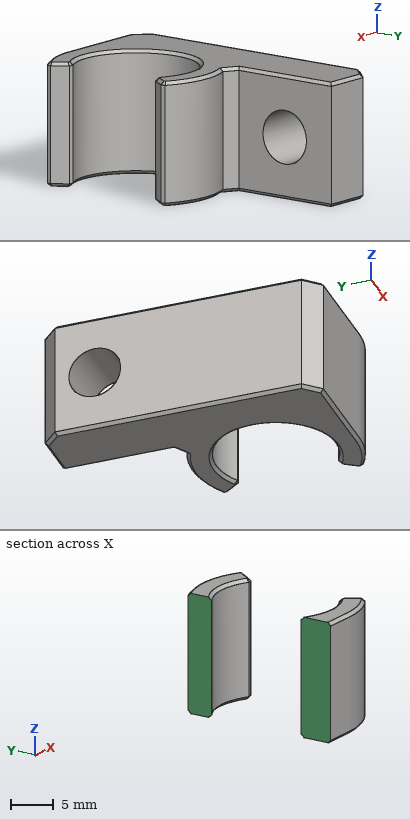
import cadquery as cq
import math

bar_length = 35.0
bar_thickness = 8.0
height = 15.0

bore_radius = 7.5
ring_wall = 3.0
ring_radius = bore_radius + ring_wall
bore_center_x = 14.0
bore_center_y = ring_radius
mouth_half_angle = math.radians(55.0)

hole_diameter = 6.5
hole_end_distance = 7.0

corner_chamfer = 2.0
edge_chamfer = 0.4

gusset_setback = 2.0
gusset_overlap = 1.5


def ring_point(radius, angle):
    """Point on a circle around the bore axis, the angle measured from +X."""
    return cq.Vector(
        bore_center_x + radius * math.cos(angle),
        bore_center_y + radius * math.sin(angle),
    )


notch_angle = math.acos((bar_thickness - bore_center_x) / ring_radius)
notch = ring_point(ring_radius, notch_angle)


def make_outline_body():
    """Bar and open ring as one extruded outline."""
    upper_mid_angle = (notch_angle + mouth_half_angle) / 2
    lower_mid_angle = -(math.pi / 2 + mouth_half_angle) / 2
    return (
        cq.Workplane("XY")
        .moveTo(0, corner_chamfer)
        .lineTo(corner_chamfer, 0)
        .lineTo(bore_center_x, 0)
        .threePointArc(
            ring_point(ring_radius, lower_mid_angle),
            ring_point(ring_radius, -mouth_half_angle),
        )
        .lineTo(*ring_point(bore_radius, -mouth_half_angle).toTuple()[:2])
        .threePointArc(
            ring_point(bore_radius, math.pi),
            ring_point(bore_radius, mouth_half_angle),
        )
        .lineTo(*ring_point(ring_radius, mouth_half_angle).toTuple()[:2])
        .threePointArc(ring_point(ring_radius, upper_mid_angle), notch)
        .lineTo(bar_thickness, bar_length)
        .lineTo(corner_chamfer, bar_length)
        .lineTo(0, bar_length - corner_chamfer)
        .close()
        .extrude(height)
    )


def chamfer_tip_edges(body):
    """Bevel the four upright edges at the two tips of the clip."""
    mid_height = cq.Vector(0, 0, height / 2)
    tip_edges = body.newObject([])
    for radius in (bore_radius, ring_radius):
        for angle in (-mouth_half_angle, mouth_half_angle):
            edge_center = ring_point(radius, angle) + mid_height
            nearest = cq.selectors.NearestToPointSelector(edge_center.toTuple())
            tip_edges = tip_edges.add(body.edges("|Z").edges(nearest))
    return tip_edges.chamfer(edge_chamfer)


def make_gusset():
    """Triangular prism with a beveled flat, its ends and apex buried in bar and ring."""
    setback_angle = 2 * math.asin(gusset_setback / (2 * ring_radius))
    ring_end = ring_point(ring_radius, notch_angle - setback_angle)
    bar_end = notch + cq.Vector(0, gusset_setback)
    along = (bar_end - ring_end).normalized()
    inward = cq.Vector(-along.y, along.x)
    flat_center = (ring_end + bar_end) / 2 + cq.Vector(0, 0, height / 2)
    corners = [
        ring_end - along * gusset_overlap,
        bar_end + along * gusset_overlap,
        notch + inward * gusset_overlap,
    ]
    prism = cq.Workplane("XY").polyline(corners).close().extrude(height)
    flat = prism.faces(cq.selectors.NearestToPointSelector(flat_center.toTuple()))
    return flat.edges("#Z").chamfer(edge_chamfer)


def make_mounting_hole():
    """Round cutter along X through the bar."""
    return (
        cq.Workplane("YZ")
        .center(bar_length - hole_end_distance, height / 2)
        .circle(hole_diameter / 2)
        .extrude(bar_thickness)
    )


body = chamfer_tip_edges(make_outline_body())
body = body.faces("<Z or >Z").chamfer(edge_chamfer)
body = body.union(make_gusset())
result = body.cut(make_mounting_hole())